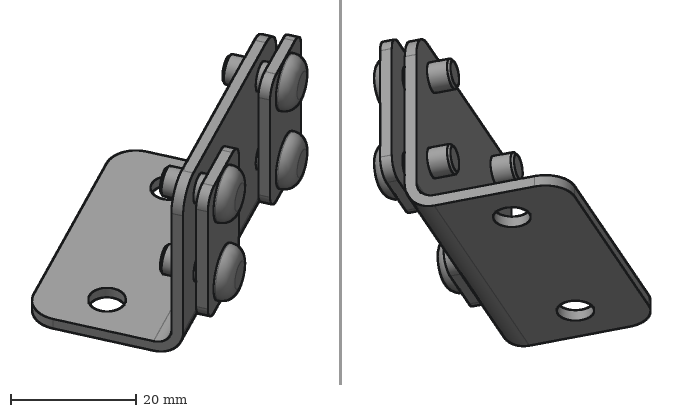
import cadquery as cq


sheet_thickness = 2.0

bracket_width = 45.0
bracket_height = 34.0
base_length = 27.0
flange_corner_radius = 5.0
bend_outer_radius = 5.0
bend_inner_radius = bend_outer_radius - sheet_thickness
mounting_hole_diameter = 6.0
mounting_hole_x = 11.5

plate_width = 15.0
plate_height = 26.0
plate_corner_radius = 3.0
plate_gap = 2.2
plate_inner_x = base_length + plate_gap
plate_outer_x = plate_inner_x + sheet_thickness
plate_bottom_z = bracket_height - plate_height
plate_center_y = (bracket_width - plate_width) / 2

shank_diameter = 5.0
shank_length = 10.0
tip_diameter = 4.15
tip_chamfer_length = (shank_diameter - tip_diameter) / 2
head_diameter = 9.5
head_height = 2.75
head_rim_height = 0.3
head_round_radius = head_height - head_rim_height
screw_end_distance = 5.0
screw_heights = [plate_bottom_z + screw_end_distance, bracket_height - screw_end_distance]

sides = [-plate_center_y, plate_center_y]


def drill_screw_hole(body, y, z):
    """Cut a shank-sized hole along X right through the body."""
    drill = (
        cq.Workplane("YZ")
        .center(y, z)
        .circle(shank_diameter / 2)
        .extrude(plate_outer_x)
    )
    return body.cut(drill)


def make_bracket():
    """Bent L-bracket with rounded free corners, mounting holes and screw holes."""
    wall_inner_x = base_length - sheet_thickness
    body = (
        cq.Workplane("XZ")
        .lineTo(base_length - bend_outer_radius, 0)
        .radiusArc((base_length, bend_outer_radius), -bend_outer_radius)
        .lineTo(base_length, bracket_height)
        .lineTo(wall_inner_x, bracket_height)
        .lineTo(wall_inner_x, bend_outer_radius)
        .radiusArc((base_length - bend_outer_radius, sheet_thickness), bend_inner_radius)
        .lineTo(0, sheet_thickness)
        .close()
        .extrude(bracket_width / 2, both=True)
    )
    body = body.edges("|Z and <X").fillet(flange_corner_radius)
    body = body.edges("|X and >Z").fillet(flange_corner_radius)

    mounting_holes = (
        cq.Workplane("XY")
        .pushPoints([(mounting_hole_x, y) for y in sides])
        .circle(mounting_hole_diameter / 2)
        .extrude(sheet_thickness)
    )
    body = body.cut(mounting_holes)

    for y in sides:
        for z in screw_heights:
            body = drill_screw_hole(body, y, z)
    return body


def make_clamp_plate(y):
    """Rounded flat plate centred at y, with two screw holes."""
    body = (
        cq.Workplane("YZ", origin=(plate_inner_x, y, plate_bottom_z + plate_height / 2))
        .rect(plate_width, plate_height)
        .extrude(sheet_thickness)
        .edges("|X")
        .fillet(plate_corner_radius)
    )
    for z in screw_heights:
        body = drill_screw_hole(body, y, z)
    return body


def make_screw(y, z):
    """Button-head screw along X, its head seated on the outer face of the plate."""
    shank_radius = shank_diameter / 2
    head_radius = head_diameter / 2
    tip_x = -shank_length
    face_radius = head_radius - head_round_radius
    profile = (
        cq.Workplane("XY")
        .moveTo(tip_x, 0)
        .lineTo(tip_x, tip_diameter / 2)
        .lineTo(tip_x + tip_chamfer_length, shank_radius)
        .lineTo(0, shank_radius)
        .lineTo(0, head_radius)
        .lineTo(head_rim_height, head_radius)
        .tangentArcPoint((head_height, face_radius), relative=False)
        .lineTo(head_height, 0)
        .close()
    )
    screw = profile.revolve(360, (0, 0, 0), (1, 0, 0))
    return screw.translate((plate_outer_x, y, z))


bracket = make_bracket()
clamp_plates = [make_clamp_plate(y) for y in sides]
screws = [make_screw(y, z) for y in sides for z in screw_heights]

result = cq.Compound.makeCompound(
    [
        bracket.val(),
        *[plate.val() for plate in clamp_plates],
        *[screw.val() for screw in screws],
    ]
)